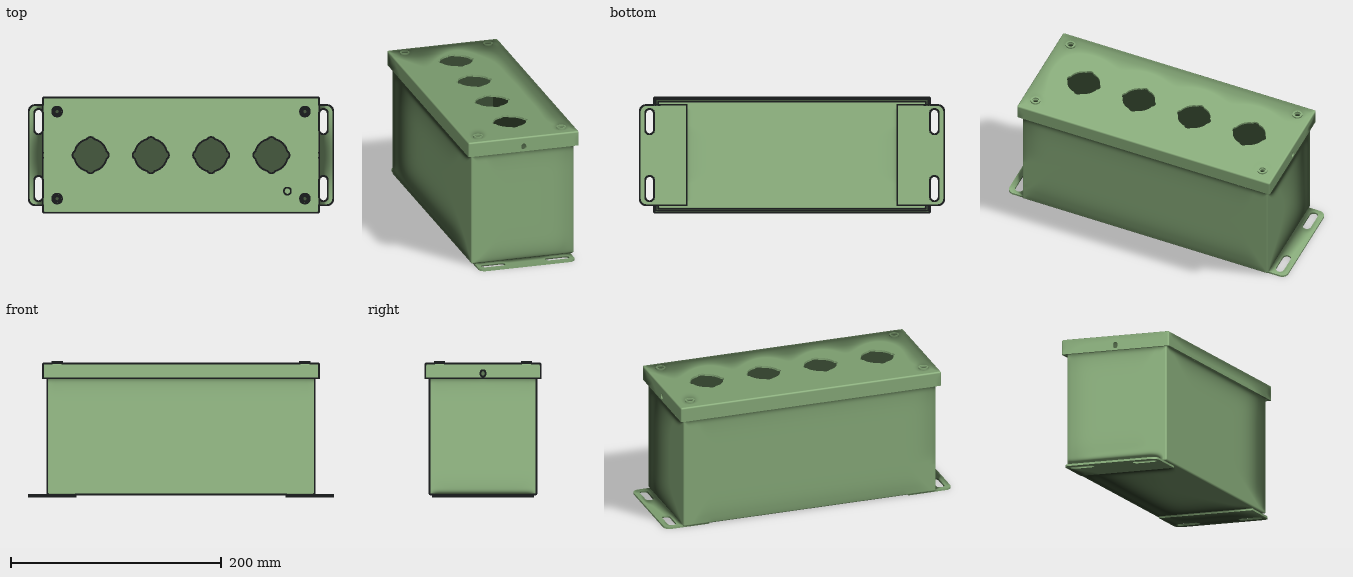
import cadquery as cq

sheet = 1.9
bend_radius = 1.5

overall_length = 288.93
overall_height = 127.9

box_length = 254.0
box_width = 101.6
box_bottom = sheet

cover_overhang = 3.97
cover_length = box_length + 2 * cover_overhang
cover_width = box_width + 2 * cover_overhang
cover_height = 14.3
rim_height = 1.6
cover_top = overall_height - rim_height
cover_bottom = cover_top - cover_height
cover_underside = cover_top - sheet

foot_length = 44.45
foot_width = 95.25
foot_corner_radius = 6.35
slot_width = 8.05
slot_length = 23.8
slot_inset = 9.4
slot_spacing = 63.5

screw_spacing_x = 235.0
screw_spacing_y = 82.55
rim_diameter = 9.4
screw_recess_diameter = 6.1
screw_hole_diameter = 4.8
screw_recess_depth = rim_height

button_count = 4
button_pitch = 57.15
button_diameter = 31.0
notch_diameter = 8.05
notch_reach = 17.2

pin_diameter = 6.76
pin_position = (100.9, -34.1)

vent_width = 4.76
vent_height = 6.1
vent_centre_z = 116.8


def rounded_block(length, width, bottom, top, round_end):
    """Block with rounded upright edges and one rounded end face ('>Z' or '<Z')."""
    block = cq.Workplane("XY", origin=(0, 0, bottom)).rect(length, width).extrude(top - bottom)
    return block.edges("|Z").fillet(bend_radius).faces(round_end).edges().fillet(bend_radius)


def make_foot():
    """Left-hand foot, reaching from its outer end to under the box."""
    outer_x = -overall_length / 2
    foot = (
        cq.Workplane("XY")
        .center(outer_x + foot_length / 2, 0)
        .rect(foot_length, foot_width)
        .extrude(sheet)
        .edges("|Z and <X")
        .fillet(foot_corner_radius)
    )
    slots = (
        cq.Workplane("XY")
        .center(outer_x + slot_inset, 0)
        .rarray(1, slot_spacing, 1, 2)
        .slot2D(slot_length, slot_width, 90)
        .extrude(sheet)
    )
    return foot.cut(slots)


def make_box():
    """Open-topped box with a foot welded under each end."""
    shell = rounded_block(box_length, box_width, box_bottom, cover_underside, "<Z")
    cavity = (
        cq.Workplane("XY", origin=(0, 0, box_bottom + sheet))
        .rect(box_length - 2 * sheet, box_width - 2 * sheet)
        .extrude(cover_underside - box_bottom - sheet)
    )
    foot = make_foot()
    return shell.cut(cavity).union(foot).union(foot.mirror("YZ"))


def make_button_openings():
    """Round openings, each with four rounded notches at right angles."""
    notch_offset = notch_reach - notch_diameter / 2
    base = cq.Workplane("XY", origin=(0, 0, cover_underside))
    openings = base.rarray(button_pitch, 1, button_count, 1).circle(button_diameter / 2).extrude(sheet)
    for index in range(button_count):
        centre_x = (index - (button_count - 1) / 2) * button_pitch
        notches = (
            base.center(centre_x, 0)
            .polarArray(notch_offset, 0, 360, 4)
            .circle(notch_diameter / 2)
            .extrude(sheet)
        )
        openings = openings.union(notches)
    return openings


def screw_cylinders(diameter, bottom, top):
    """One upright cylinder at each of the four screw positions."""
    return (
        cq.Workplane("XY", origin=(0, 0, bottom))
        .rarray(screw_spacing_x, screw_spacing_y, 2, 2)
        .circle(diameter / 2)
        .extrude(top - bottom)
    )


def make_cover():
    """Flanged cover that drops over the open top of the box."""
    shell = rounded_block(cover_length, cover_width, cover_bottom, cover_top, ">Z")
    cavity = (
        cq.Workplane("XY", origin=(0, 0, cover_bottom))
        .rect(cover_length - 2 * sheet, cover_width - 2 * sheet)
        .extrude(cover_underside - cover_bottom)
    )
    vents = (
        cq.Workplane("YZ", origin=(-cover_length / 2, 0, vent_centre_z))
        .slot2D(vent_height, vent_width, 90)
        .extrude(cover_length)
    )
    return (
        shell.cut(cavity)
        .cut(vents)
        .cut(make_button_openings())
        .cut(make_pin())
        .union(screw_cylinders(rim_diameter, cover_underside, overall_height))
        .cut(screw_cylinders(screw_recess_diameter, overall_height - screw_recess_depth, overall_height))
        .cut(screw_cylinders(screw_hole_diameter, cover_underside, overall_height))
    )


def make_pin():
    """Round pin that fills its hole through the cover sheet."""
    return (
        cq.Workplane("XY", origin=(*pin_position, cover_underside))
        .circle(pin_diameter / 2)
        .extrude(sheet)
    )


box = make_box()
cover = make_cover()
pin = make_pin()

result = cq.Compound.makeCompound([box.val(), cover.val(), pin.val()])